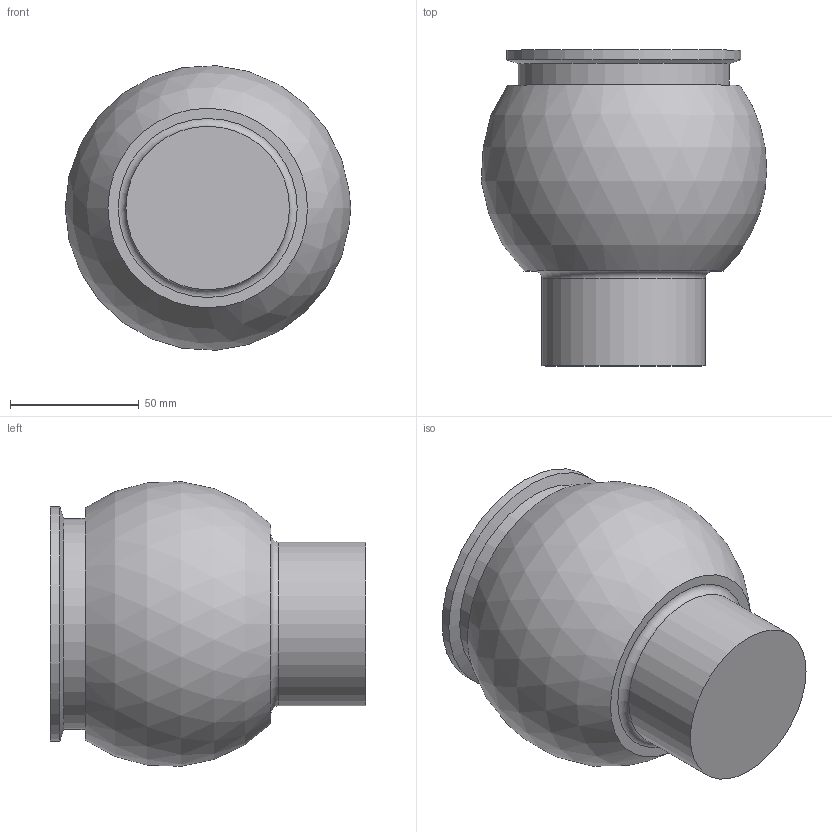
import cadquery as cq
import math

ball_radius = 55.55
back_end = 46.0
overall_length = 122.68
front_end = overall_length - back_end

flange_radius = 45.5
flange_rim_thickness = 3.75
flange_bevel_length = 1.5
neck_radius = 41.0
neck_step = 13.6

front_flat = 39.8
tube_radius = 31.75
tube_fillet = 3.0


def ball_radius_at(y):
    """Radius of the ball's circular section at the given Y."""
    return math.sqrt(ball_radius**2 - y**2)


def make_body():
    """Revolve the half profile of tube, ball, neck and flange about Y."""
    bevel_start = back_end - flange_rim_thickness
    bevel_end = bevel_start - flange_bevel_length
    back_flat = back_end - neck_step
    fillet_end = -front_flat - tube_fillet
    fillet_middle = (
        tube_radius + tube_fillet * (1 - math.sqrt(0.5)),
        fillet_end + tube_fillet * math.sqrt(0.5),
    )
    profile = (
        cq.Workplane("XY")
        .moveTo(0, -front_end)
        .lineTo(tube_radius, -front_end)
        .lineTo(tube_radius, fillet_end)
        .threePointArc(fillet_middle, (tube_radius + tube_fillet, -front_flat))
        .lineTo(ball_radius_at(front_flat), -front_flat)
        .threePointArc((ball_radius, 0), (ball_radius_at(back_flat), back_flat))
        .lineTo(neck_radius, back_flat)
        .lineTo(neck_radius, bevel_end)
        .lineTo(flange_radius, bevel_start)
        .lineTo(flange_radius, back_end)
        .lineTo(0, back_end)
        .close()
    )
    return profile.revolve(360, (0, 0, 0), (0, 1, 0))


result = make_body()